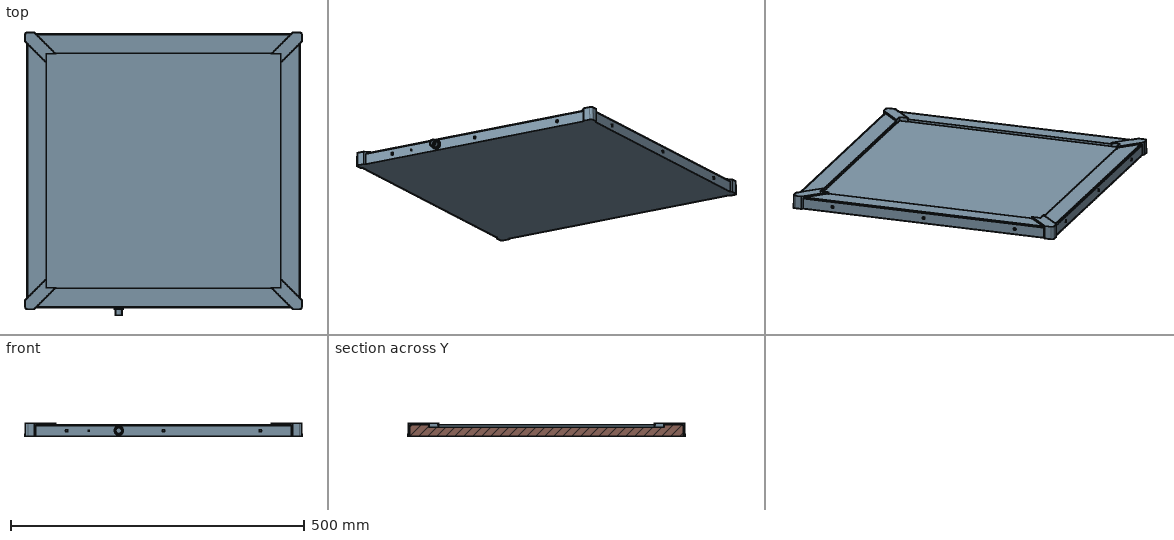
import cadquery as cq
import math

frame_size = 472.0
overall_depth = 482.5
height = 22.5

cap_lean = 0.3
cap_corner_radius = 4.5
cap_band_offset = 15.5
cap_opening = 399.0

rail_inset = 2.65
rail_size = frame_size - 2 * rail_inset
rail_height = 20.3
rail_chamfer = 2.0
rail_opening = 400.5
panel_height = 16.0

screw_diameter = 4.15
screw_spacing = 165.0
screw_height = 9.5
hole_depth = 5.0
vent_diameter = 2.0
vent_x = -127.5

connector_x = -76.0
connector_height = 9.9
connector_diameter = 12.0
connector_bore = 10.0
connector_bore_depth = overall_depth - frame_size
collar_diameter = 15.0
collar_length = 3.0


def square_prism(size, bottom, top):
    """Centred square block between two heights."""
    return cq.Workplane("XY").workplane(offset=bottom).rect(size, size).extrude(top - bottom)


def side_cylinder(x, z, diameter, y_start, length):
    """Cylinder that runs from y_start towards +Y."""
    plane = cq.Plane(origin=(x, y_start, z), xDir=(1, 0, 0), normal=(0, 1, 0))
    return cq.Workplane(plane).circle(diameter / 2).extrude(length)


def make_rail_frame():
    """Square tray: chamfered rails around a recessed panel."""
    frame = square_prism(rail_size, 0, rail_height).faces(">Z").chamfer(rail_chamfer)
    return frame.cut(square_prism(rail_opening, panel_height, rail_height))


def make_corner_caps():
    """Four diagonal bands across the frame corners, standing above the rails."""
    lean_angle = math.degrees(math.atan2(cap_lean, height))
    block = (
        cq.Workplane("XY")
        .rect(frame_size, frame_size)
        .extrude(height, taper=lean_angle)
        .edges("not (|X or |Y)")
        .fillet(cap_corner_radius)
    )
    block = block.cut(square_prism(cap_opening, panel_height, height))
    band_length = 2 * frame_size
    band_width = math.sqrt(2) * cap_band_offset
    bands = cq.Workplane("XY").rect(band_length, band_width).extrude(height)
    bands = bands.union(cq.Workplane("XY").rect(band_width, band_length).extrude(height))
    return block.intersect(bands.rotate((0, 0, 0), (0, 0, 1), 45))


def make_screw_holes():
    """Three screw holes in each of the four rail sides."""
    row = cq.Workplane("XY")
    for x in (-screw_spacing, 0, screw_spacing):
        row = row.add(side_cylinder(x, screw_height, screw_diameter, -rail_size / 2, hole_depth))
    row = row.combine()
    holes = row
    for angle in (90, 180, 270):
        holes = holes.add(row.rotate((0, 0, 0), (0, 0, 1), angle))
    return holes.combine()


def add_connector(body):
    """Collared round socket on the -Y rail."""
    rail_face = -rail_size / 2
    tip = frame_size / 2 - overall_depth
    collar = side_cylinder(connector_x, connector_height, collar_diameter,
                           rail_face - collar_length, collar_length)
    barrel = side_cylinder(connector_x, connector_height, connector_diameter, tip, rail_face - tip)
    bore = side_cylinder(connector_x, connector_height, connector_bore, tip, connector_bore_depth)
    return body.union(collar).union(barrel).cut(bore)


body = make_rail_frame().union(make_corner_caps())
body = body.cut(make_screw_holes())
body = body.cut(side_cylinder(vent_x, screw_height, vent_diameter, -rail_size / 2, hole_depth))
result = add_connector(body)